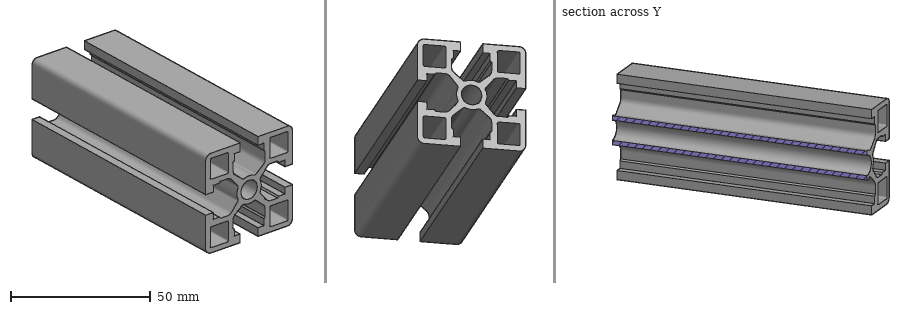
import cadquery as cq
import math

length = 100.0
side = 40.0
corner_radius = 2.5
half_side = side / 2

bore_diameter = 7.5
hub_radius = 5.6
hub_fillet = 1.0

mouth_half_width = 4.1
lip_thickness = 3.5
shoulder_half_width = 6.8
cavity_half_width = 7.4
shoulder_depth = 6.3
web_angle = math.radians(40)
web_offset = 2.0
cavity_fillet = 2.5

chamber_side = 8.4
chamber_wall = 2.1
chamber_radius = 0.7


def polar(radius, angle, center=(0, 0)):
    """Point at a radius and angle around a center."""
    return (center[0] + radius * math.cos(angle), center[1] + radius * math.sin(angle))


def half_slot():
    """One side of the upper slot; u is across the slot, v is the distance from the bar axis."""
    hub_reach = hub_radius + hub_fillet
    hub_angle = web_angle + math.asin((web_offset + hub_fillet) / hub_reach)
    hub_mid = polar(hub_radius, (hub_angle + math.pi / 2) / 2)
    hub_end = polar(hub_radius, hub_angle)
    hub_fillet_center = polar(hub_reach, hub_angle)
    away_from_web = web_angle - math.pi / 2
    hub_fillet_mid = polar(hub_fillet, (hub_angle - math.pi + away_from_web) / 2, hub_fillet_center)
    web_start = polar(hub_fillet, away_from_web, hub_fillet_center)

    cavity_center_u = cavity_half_width - cavity_fillet
    web_rise = cavity_center_u * math.tan(web_angle)
    cavity_center_v = web_rise + (web_offset + cavity_fillet) / math.cos(web_angle)
    cavity_center = (cavity_center_u, cavity_center_v)
    web_end = polar(cavity_fillet, away_from_web, cavity_center)
    cavity_fillet_mid = polar(cavity_fillet, away_from_web / 2, cavity_center)
    wall_start = polar(cavity_fillet, 0, cavity_center)

    shoulder_v = half_side - shoulder_depth
    shoulder_step = cavity_half_width - shoulder_half_width
    lip_v = half_side - lip_thickness
    return (
        cq.Workplane("YZ")
        .moveTo(0, hub_radius)
        .threePointArc(hub_mid, hub_end)
        .threePointArc(hub_fillet_mid, web_start)
        .lineTo(*web_end)
        .threePointArc(cavity_fillet_mid, wall_start)
        .lineTo(cavity_half_width, shoulder_v - shoulder_step)
        .lineTo(shoulder_half_width, shoulder_v)
        .lineTo(shoulder_half_width, lip_v)
        .lineTo(mouth_half_width, lip_v)
        .lineTo(mouth_half_width, half_side)
        .lineTo(0, half_side)
        .close()
        .extrude(length)
    )


def corner_chambers():
    """Four rounded square tubes, one in each corner of the profile."""
    pitch = side - 2 * chamber_wall - chamber_side
    return (
        cq.Workplane("YZ")
        .rarray(pitch, pitch, 2, 2)
        .rect(chamber_side, chamber_side)
        .extrude(length)
        .edges("|X")
        .fillet(chamber_radius)
    )


bar = cq.Workplane("YZ").rect(side, side).extrude(length).edges("|X").fillet(corner_radius)
bore = cq.Workplane("YZ").circle(bore_diameter / 2).extrude(length)
bar = bar.cut(bore).cut(corner_chambers())

one_side = half_slot()
slot = one_side.union(one_side.mirror("XZ")).clean()
for turn in range(4):
    bar = bar.cut(slot.rotate((0, 0, 0), (1, 0, 0), 90 * turn))

result = bar